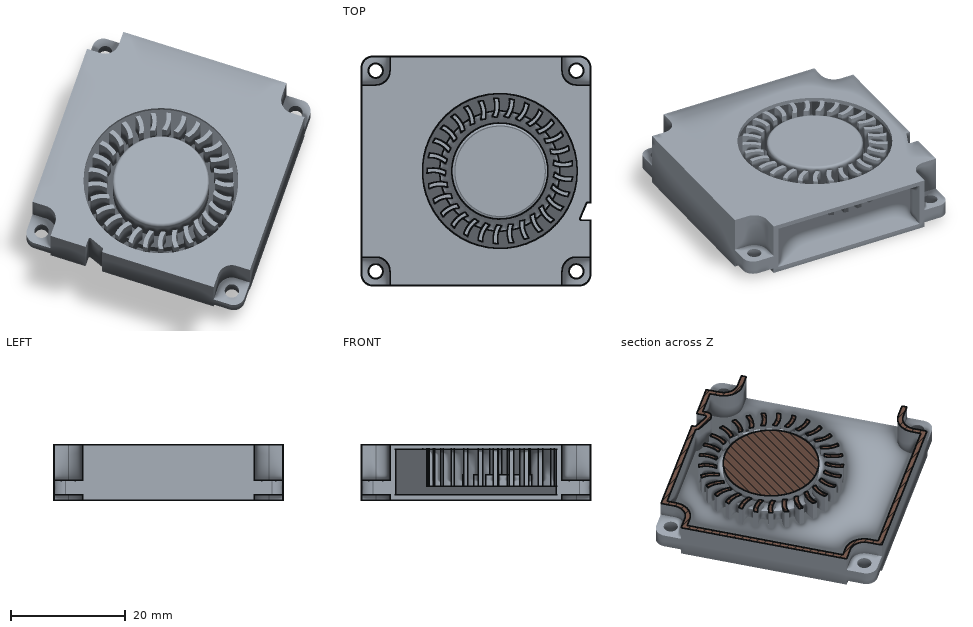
import cadquery as cq

side = 40.0
height = 9.75
wall = 0.95
roof_thickness = 0.8
roof_underside = height - roof_thickness

notch_size = 5.0
notch_radius = notch_size / 2
lug_bottom = wall
lug_top = 3.5
lug_corner_radius = 2.0
screw_hole_diameter = 2.5
screw_hole_spacing = side - notch_size

cable_top_y = -5.5
cable_bottom_y = -8.55
cable_shoulder_x = 19.3
cable_tip_x = 18.05
cable_edge_radius = 0.25

impeller_x = 4.15
intake_diameter = 27.0
impeller_bottom = 2.5
disc_top = 4.5
disc_diameter = 20.95
hub_diameter = 16.75
hub_edge_radius = 0.5
blade_count = 29
blade_pitch = 360 / blade_count
first_blade_angle = blade_pitch / 2
blade_inner_rear = (9.4, 0.0)
blade_rear_middle = (11.3, -0.5)
blade_outer_rear = (12.65, -0.45)
blade_outer_front = (12.7, 0.4)
blade_front_middle = (11.35, 0.25)
blade_inner_front = (9.5, 0.85)


def make_corner_cutter():
    """Square posts that notch the four corners, each with a rounded inner edge."""
    return (
        cq.Workplane("XY")
        .rect(side, side, forConstruction=True)
        .vertices()
        .rect(2 * notch_size, 2 * notch_size)
        .extrude(height)
        .edges("|Z")
        .fillet(notch_radius)
    )


def make_cable_cutter():
    """Slanted notch for the cable, open on the +X side."""
    edge_x = side / 2
    return (
        cq.Workplane("XY")
        .moveTo(edge_x, cable_top_y)
        .lineTo(cable_shoulder_x, cable_top_y)
        .lineTo(cable_tip_x, cable_bottom_y)
        .lineTo(edge_x, cable_bottom_y)
        .close()
        .extrude(height)
        .edges("|Z and (not >X)")
        .fillet(cable_edge_radius)
    )


def make_shell():
    """Notched box, hollowed to an even side wall that follows its outline."""
    block = (
        cq.Workplane("XY")
        .rect(side, side)
        .extrude(height)
        .cut(make_corner_cutter())
        .cut(make_cable_cutter())
    )
    outline = block.faces("<Z").wires().vals()
    cavity = (
        cq.Workplane("XY")
        .add(outline)
        .toPending()
        .offset2D(-wall)
        .extrude(roof_underside - wall)
        .translate((0, 0, wall))
    )
    return block.cut(cavity)


def make_outlet():
    """Air outlet through the -Y wall, as wide and high as the cavity there."""
    outlet_width = side - 2 * (notch_size + wall)
    outlet_height = roof_underside - wall
    return cq.Workplane("XY").box(outlet_width, 2 * wall, outlet_height).translate(
        (0, -side / 2, wall + outlet_height / 2)
    )


def make_lugs():
    """Screw lugs filling the corner notches over part of their height."""
    plate = (
        cq.Workplane("XY")
        .workplane(offset=lug_bottom)
        .rect(side, side)
        .extrude(lug_top - lug_bottom)
        .edges("|Z")
        .fillet(lug_corner_radius)
    )
    screw_holes = (
        cq.Workplane("XY")
        .rect(screw_hole_spacing, screw_hole_spacing, forConstruction=True)
        .vertices()
        .circle(screw_hole_diameter / 2)
        .extrude(height)
    )
    return plate.intersect(make_corner_cutter()).cut(screw_holes)


def make_housing():
    intake = (
        cq.Workplane("XY")
        .workplane(offset=roof_underside)
        .center(impeller_x, 0)
        .circle(intake_diameter / 2)
        .extrude(roof_thickness)
    )
    return make_shell().cut(make_outlet()).cut(intake).union(make_lugs())


def make_blade():
    """One curved blade, standing on the +X side of the impeller axis."""
    return (
        cq.Workplane("XY")
        .workplane(offset=impeller_bottom)
        .moveTo(*blade_inner_rear)
        .threePointArc(blade_rear_middle, blade_outer_rear)
        .lineTo(*blade_outer_front)
        .threePointArc(blade_front_middle, blade_inner_front)
        .close()
        .extrude(height - impeller_bottom)
    )


def make_impeller():
    """Hub on a disc, with blades around the rim of the disc."""
    base = cq.Workplane("XY").workplane(offset=impeller_bottom)
    hub = (
        base.circle(hub_diameter / 2)
        .extrude(height - impeller_bottom)
        .faces(">Z")
        .edges()
        .fillet(hub_edge_radius)
    )
    impeller = base.circle(disc_diameter / 2).extrude(disc_top - impeller_bottom).union(hub)
    blade = make_blade()
    for index in range(blade_count):
        angle = first_blade_angle + index * blade_pitch
        impeller = impeller.union(blade.rotate((0, 0, 0), (0, 0, 1), angle))
    return impeller.translate((impeller_x, 0, 0))


housing = make_housing()
impeller = make_impeller()

result = cq.Compound.makeCompound([housing.val(), impeller.val()])